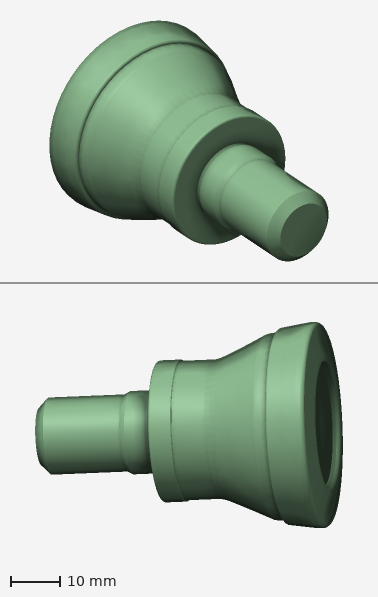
import cadquery as cq
import math

OVERALL_LENGTH = 59.7

HEAD_DIAMETER = 42.1
HEAD_RADIUS = HEAD_DIAMETER / 2
RIM_RADIUS = 14.5
FACE_EDGE_X = 0.95
FACE_EDGE_RADIUS = 20.5
HEAD_BAND_START = 1.85
HEAD_BAND_END = 2.75
HEAD_BACK_X = 9.25
HEAD_BACK_ROUND = 0.55
HEAD_TAPER = math.radians(8.5)

SHOULDER_RADIUS = 19.3
SHOULDER_END_X = 11.1
SHOULDER_END_RADIUS = 19.1
FLARE_START_X = 12.35
FLARE_START_RADIUS = 18.7
FLARE_END_X = 20.7
FLARE_END_RADIUS = 14.85
WAIST_DIAMETER = 28.5
WAIST_START_X = 22.85
KNOB_END_X = 29.8

RECESS_RADIUS = 12.8
RECESS_FLOOR_RADIUS = 12.5
RECESS_LIP_RADIUS = 0.8
RECESS_DEPTH = 1.5

COLLAR_DIAMETER = 29.0
COLLAR_END_X = 34.7
COLLAR_FRONT_CHAMFER = 0.2
COLLAR_BACK_ROUND = 0.55
NECK_RADIUS = 8.3
NECK_END_X = 35.2
PILOT_DIAMETER = 17.0
PILOT_START_X = 35.95
PILOT_END_X = 40.7
SHANK_DIAMETER = 15.75
SHANK_START_X = 41.85
TIP_CHAMFER = 1.95


def revolve_about_x(profile):
    """Turn a closed (x, radius) outline one full revolution about the X axis."""
    return profile.close().revolve(360, (0, 0, 0), (1, 0, 0))


def bulge(start, start_angle, end):
    """Middle point of the arc that leaves start at start_angle and reaches end."""
    run = end[0] - start[0]
    rise = end[1] - start[1]
    half_turn = math.atan2(rise, run) - start_angle
    sag = math.hypot(run, rise) / 2 * math.tan(half_turn / 2)
    chord_angle = math.atan2(rise, run)
    return (
        (start[0] + end[0]) / 2 + sag * math.sin(chord_angle),
        (start[1] + end[1]) / 2 - sag * math.cos(chord_angle),
    )


def make_knob():
    waist_radius = WAIST_DIAMETER / 2
    taper_end_x = HEAD_BACK_X - HEAD_BACK_ROUND
    taper_end_radius = HEAD_RADIUS - (taper_end_x - HEAD_BAND_END) * math.tan(HEAD_TAPER)
    lip_mid = RECESS_LIP_RADIUS * (1 - math.sqrt(0.5))

    face_edge = (FACE_EDGE_X, FACE_EDGE_RADIUS)
    band_start = (HEAD_BAND_START, HEAD_RADIUS)
    taper_end = (taper_end_x, taper_end_radius)
    head_back = (HEAD_BACK_X, taper_end_radius - HEAD_BACK_ROUND)
    shoulder_end = (SHOULDER_END_X, SHOULDER_END_RADIUS)
    shoulder_angle = math.atan2(SHOULDER_END_RADIUS - SHOULDER_RADIUS, SHOULDER_END_X - HEAD_BACK_X)
    flare_start = (FLARE_START_X, FLARE_START_RADIUS)
    flare_end = (FLARE_END_X, FLARE_END_RADIUS)
    flare_angle = math.atan2(FLARE_END_RADIUS - FLARE_START_RADIUS, FLARE_END_X - FLARE_START_X)
    waist_start = (WAIST_START_X, waist_radius)

    profile = (
        cq.Workplane("XY")
        .moveTo(RECESS_DEPTH, 0)
        .lineTo(RECESS_DEPTH, RECESS_FLOOR_RADIUS)
        .lineTo(RECESS_LIP_RADIUS, RECESS_RADIUS)
        .threePointArc((lip_mid, RECESS_RADIUS + lip_mid), (0, RECESS_RADIUS + RECESS_LIP_RADIUS))
        .lineTo(0, RIM_RADIUS)
        .lineTo(*face_edge)
        .threePointArc(bulge(band_start, -math.pi, face_edge), band_start)
        .lineTo(HEAD_BAND_END, HEAD_RADIUS)
        .lineTo(*taper_end)
        .threePointArc(bulge(taper_end, -HEAD_TAPER, head_back), head_back)
        .lineTo(HEAD_BACK_X, SHOULDER_RADIUS)
        .lineTo(*shoulder_end)
        .threePointArc(bulge(shoulder_end, shoulder_angle, flare_start), flare_start)
        .lineTo(*flare_end)
        .threePointArc(bulge(flare_end, flare_angle, waist_start), waist_start)
        .lineTo(KNOB_END_X, waist_radius)
        .lineTo(KNOB_END_X, 0)
    )
    return revolve_about_x(profile)


def make_stem():
    collar_radius = COLLAR_DIAMETER / 2
    pilot_radius = PILOT_DIAMETER / 2
    shank_radius = SHANK_DIAMETER / 2
    round_start = (COLLAR_END_X - COLLAR_BACK_ROUND, collar_radius)
    round_end = (COLLAR_END_X, collar_radius - COLLAR_BACK_ROUND)

    profile = (
        cq.Workplane("XY")
        .moveTo(KNOB_END_X, 0)
        .lineTo(KNOB_END_X, collar_radius - COLLAR_FRONT_CHAMFER)
        .lineTo(KNOB_END_X + COLLAR_FRONT_CHAMFER, collar_radius)
        .lineTo(*round_start)
        .threePointArc(bulge(round_start, 0, round_end), round_end)
        .lineTo(COLLAR_END_X, NECK_RADIUS)
        .lineTo(NECK_END_X, NECK_RADIUS)
        .lineTo(PILOT_START_X, pilot_radius)
        .lineTo(PILOT_END_X, pilot_radius)
        .lineTo(SHANK_START_X, shank_radius)
        .lineTo(OVERALL_LENGTH - TIP_CHAMFER, shank_radius)
        .lineTo(OVERALL_LENGTH, shank_radius - TIP_CHAMFER)
        .lineTo(OVERALL_LENGTH, 0)
    )
    return revolve_about_x(profile)


knob = make_knob()
stem = make_stem()

result = cq.Compound.makeCompound([knob.val(), stem.val()])